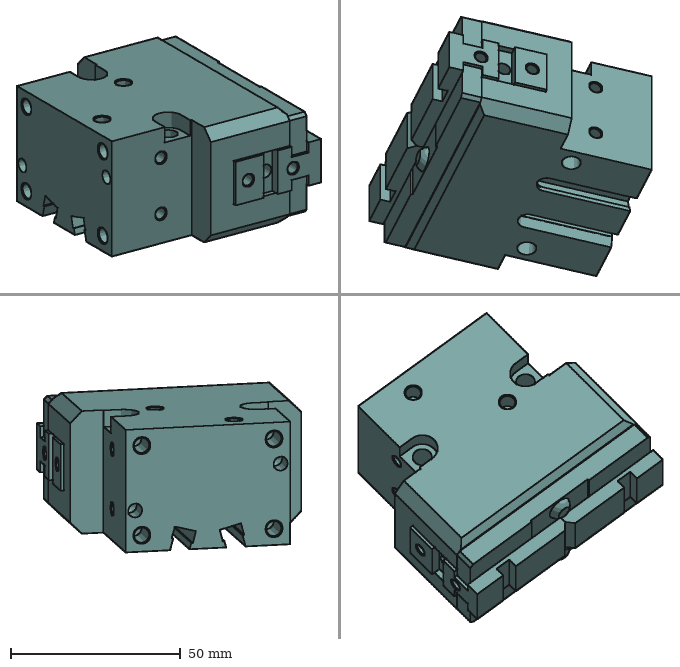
import cadquery as cq
import math


JAW_OUTER_X = 36.0
TOTAL_DEPTH = 67.0
HEIGHT = 37.0

HEAD_HALF_WIDTH = 35.0
NECK_HALF_WIDTH = 24.9
SHOULDER_Y = 28.45
HEAD_FRONT_Y = 56.6
SIDE_CHAMFER = 3.5
FRONT_CHAMFER = 2.0

PLATE_FRONT_Y = 62.65
PLATE_HALF_WIDTH = 34.9
PLATE_OUTER_Z = 16.05
PLATE_INNER_Z = 3.7
PLATE_CHAMFER = SIDE_CHAMFER - (HEIGHT / 2 - PLATE_OUTER_Z)
RELIEF_WIDTH = 22.2
RELIEF_DEPTH = 0.5
SCREW_Z = 11.6
SCREW_BASE_RADIUS = 3.75
SCREW_TOP_RADIUS = 2.1
SCREW_HEAD_HEIGHT = 2.15

JAW_HALF_HEIGHT = 7.0
JAW_BACK_Y = 36.6
SIDE_GROOVE_BACK_Y = 46.5
SIDE_GROOVE_FRONT_Y = 51.6
SIDE_GROOVE_DEPTH = 2.9
NOTCH_X = 23.5
NOTCH_WIDTH = 4.9
NOTCH_DEPTH = 3.0
TIP_CHAMFER_X = 2.0
TIP_CHAMFER_Y = 2.3
JAW_HOLE_Y = 49.1
JAW_HOLE_PITCH = 8.0
JAW_HOLE_DEPTH = 7.0

DRILL_POINT_ANGLE = 118.0
COUNTERSINK_SLOPE = 45.0
SMALL_BORE = 3.5
SMALL_MOUTH = 4.2
LARGE_BORE = 4.5
LARGE_MOUTH = 5.2
DOWEL_DIAMETER = 4.2
MOUNT_HOLE_DEPTH = 10.0
SIDE_HOLE_DEPTH = 7.0
DOWEL_DEPTH = 7.0
MOUNT_X = 20.0
MOUNT_Z = 13.5
DOWEL_X = 22.0
DOWEL_Z = 6.0
SIDE_HOLE_Y = 17.5
SIDE_HOLE_Z = 9.0

BOLT_X = 20.0
BOLT_Y = 23.4
BOLT_DIAMETER = 5.6
BOLT_POCKET_WIDTH = 9.1
BOLT_POCKET_DEPTH = 5.0

PORT_X = 9.5
PORT_BACK_Y = 7.0
PORT_FRONT_Y = 27.5
PORT_DEPTH = 6.0
PORT_PASSAGE_DIAMETER = 2.1
PORT_PASSAGE_DEPTH = 10.0

SLOT_X = 8.5
SLOT_TILT = 15.0
SLOT_DEPTH = 6.5
SLOT_WIDE_HEIGHT = 3.7
SLOT_WIDE_WIDTH = 6.6
SLOT_MOUTH_WIDTH = 5.7
SLOT_LENGTH = 30.0
SLOT_OVERRUN = 2.15


def box(x_min, x_max, y_min, y_max, z_min, z_max):
    """Axis-aligned box between two corners."""
    size = (x_max - x_min, y_max - y_min, z_max - z_min)
    return cq.Workplane("XY").box(*size, centered=False).translate((x_min, y_min, z_min))


def eight_sided_bar(half_width, half_height, chamfer, y_min, y_max):
    """Bar along Y whose section is a rectangle with its four corners cut off."""
    flat_x = half_width - chamfer
    flat_z = half_height - chamfer
    outline = [
        (flat_x, half_height), (half_width, flat_z), (half_width, -flat_z), (flat_x, -half_height),
        (-flat_x, -half_height), (-half_width, -flat_z), (-half_width, flat_z), (-flat_x, half_height),
    ]
    bar = cq.Workplane("XZ").polyline(outline).close().extrude(y_min - y_max)
    return bar.translate((0, y_min, 0))


def drill(position, direction, bore, depth, mouth):
    """Cutter for a cone-bottomed blind hole, with a 45 degree countersink if the mouth is wider."""
    bore_radius = bore / 2
    mouth_radius = mouth / 2
    point_depth = bore_radius / math.tan(math.radians(DRILL_POINT_ANGLE / 2))
    outline = cq.Workplane("XZ").lineTo(mouth_radius, 0)
    if mouth_radius > bore_radius:
        outline = outline.lineTo(bore_radius, bore_radius - mouth_radius)
    outline = outline.lineTo(bore_radius, -depth).lineTo(0, -depth - point_depth).close()
    cutter = outline.revolve(360, (0, 0, 0), (0, 1, 0)).val()
    plane = cq.Plane(origin=position, normal=tuple(-part for part in direction))
    return cutter.moved(cq.Location(plane))


def housing_blank():
    neck = box(-NECK_HALF_WIDTH, NECK_HALF_WIDTH, 0, SHOULDER_Y, -HEIGHT / 2, HEIGHT / 2)
    head = eight_sided_bar(HEAD_HALF_WIDTH, HEIGHT / 2, SIDE_CHAMFER, SHOULDER_Y, HEAD_FRONT_Y)
    front_profile = [
        (SHOULDER_Y, HEIGHT / 2), (HEAD_FRONT_Y - FRONT_CHAMFER, HEIGHT / 2),
        (HEAD_FRONT_Y, HEIGHT / 2 - FRONT_CHAMFER), (HEAD_FRONT_Y, -HEIGHT / 2 + FRONT_CHAMFER),
        (HEAD_FRONT_Y - FRONT_CHAMFER, -HEIGHT / 2), (SHOULDER_Y, -HEIGHT / 2),
    ]
    front_bevels = cq.Workplane("YZ").polyline(front_profile).close().extrude(HEAD_HALF_WIDTH, both=True)
    return neck.union(head.intersect(front_bevels))


def cover_plates():
    """Plate block across the front, with a shallow relief around the screws."""
    plates = eight_sided_bar(PLATE_HALF_WIDTH, PLATE_OUTER_Z, PLATE_CHAMFER, HEAD_FRONT_Y, PLATE_FRONT_Y)
    relief = box(
        -RELIEF_WIDTH / 2, RELIEF_WIDTH / 2, PLATE_FRONT_Y - RELIEF_DEPTH, PLATE_FRONT_Y,
        -PLATE_OUTER_Z, PLATE_OUTER_Z,
    )
    return plates.cut(relief)


def screw_head(z):
    """Domed screw head: a spherical zone with a flat top, standing on the relief floor."""
    centre_drop = (
        SCREW_BASE_RADIUS**2 - SCREW_TOP_RADIUS**2 - SCREW_HEAD_HEIGHT**2
    ) / (2 * SCREW_HEAD_HEIGHT)
    dome_radius = math.hypot(SCREW_BASE_RADIUS, centre_drop)
    middle_height = SCREW_HEAD_HEIGHT / 2
    middle_radius = math.sqrt(dome_radius**2 - (middle_height + centre_drop) ** 2)
    profile = (
        cq.Workplane("XY")
        .lineTo(SCREW_BASE_RADIUS, 0)
        .threePointArc((middle_radius, middle_height), (SCREW_TOP_RADIUS, SCREW_HEAD_HEIGHT))
        .lineTo(0, SCREW_HEAD_HEIGHT)
        .close()
    )
    head = profile.revolve(360, (0, 0, 0), (0, 1, 0))
    return head.translate((0, PLATE_FRONT_Y - RELIEF_DEPTH, z))


def jaw_section(x_min, x_max):
    """Jaw bar along X, grooved above and below where the cover plates reach in."""
    bar = box(x_min, x_max, JAW_BACK_Y, TOTAL_DEPTH, -JAW_HALF_HEIGHT, JAW_HALF_HEIGHT)
    for z_min, z_max in ((PLATE_INNER_Z, JAW_HALF_HEIGHT), (-JAW_HALF_HEIGHT, -PLATE_INNER_Z)):
        bar = bar.cut(box(x_min, x_max, HEAD_FRONT_Y, PLATE_FRONT_Y, z_min, z_max))
    return bar


def bolt_cutter(side):
    """Through hole with a round-ended head pocket that opens at the side of the neck."""
    hole = cq.Workplane("XY").circle(BOLT_DIAMETER / 2).extrude(HEIGHT / 2, both=True)
    hole = hole.translate((side * BOLT_X, BOLT_Y, 0))
    pocket_floor = HEIGHT / 2 - BOLT_POCKET_DEPTH
    round_end = cq.Workplane("XY").circle(BOLT_POCKET_WIDTH / 2).extrude(BOLT_POCKET_DEPTH)
    round_end = round_end.translate((side * BOLT_X, BOLT_Y, pocket_floor))
    x_min, x_max = sorted((side * BOLT_X, side * NECK_HALF_WIDTH))
    half_width = BOLT_POCKET_WIDTH / 2
    opening = box(x_min, x_max, BOLT_Y - half_width, BOLT_Y + half_width, pocket_floor, HEIGHT / 2)
    return hole.union(round_end).union(opening)


def port_cutter(x, y):
    """Countersunk flat-bottomed port with a narrow passage below it."""
    countersink_depth = (LARGE_MOUTH - LARGE_BORE) / 2
    top = cq.Workplane("XY", origin=(x, y, HEIGHT / 2))
    port = top.circle(LARGE_BORE / 2).extrude(-PORT_DEPTH)
    passage = top.circle(PORT_PASSAGE_DIAMETER / 2).extrude(-PORT_PASSAGE_DEPTH)
    countersink = top.circle(LARGE_MOUTH / 2).extrude(-countersink_depth, taper=COUNTERSINK_SLOPE)
    return port.union(passage).union(countersink)


def slot_part(width, z_min, z_max):
    """Straight slot from the mounting face along Y, with a half-round inner end."""
    straight_length = SLOT_LENGTH - width / 2
    straight = box(-width / 2, width / 2, -SLOT_OVERRUN, straight_length, z_min, z_max)
    end = cq.Workplane("XY", origin=(0, straight_length, z_min)).circle(width / 2).extrude(z_max - z_min)
    return straight.union(end)


def sensor_slot_cutter(side):
    wide = slot_part(SLOT_WIDE_WIDTH, SLOT_DEPTH - SLOT_WIDE_HEIGHT, SLOT_DEPTH)
    mouth = slot_part(SLOT_MOUTH_WIDTH, -SLOT_OVERRUN, SLOT_DEPTH)
    slot = wide.union(mouth).rotate((0, 0, 0), (0, 1, 0), -side * SLOT_TILT)
    return slot.translate((side * SLOT_X, 0, -HEIGHT / 2))


def make_housing():
    body = housing_blank().union(cover_plates())
    body = body.cut(jaw_section(-JAW_OUTER_X, JAW_OUTER_X))
    for z in (-SCREW_Z, SCREW_Z):
        body = body.union(screw_head(z))

    for side in (-1, 1):
        body = body.cut(bolt_cutter(side))
        body = body.cut(sensor_slot_cutter(side))
        dowel_position = (side * DOWEL_X, 0, side * DOWEL_Z)
        body = body.cut(drill(dowel_position, (0, 1, 0), DOWEL_DIAMETER, DOWEL_DEPTH, DOWEL_DIAMETER))
        for level in (-1, 1):
            mount_position = (side * MOUNT_X, 0, level * MOUNT_Z)
            body = body.cut(drill(mount_position, (0, 1, 0), LARGE_BORE, MOUNT_HOLE_DEPTH, LARGE_MOUTH))
            side_position = (side * NECK_HALF_WIDTH, SIDE_HOLE_Y, level * SIDE_HOLE_Z)
            body = body.cut(drill(side_position, (-side, 0, 0), SMALL_BORE, SIDE_HOLE_DEPTH, SMALL_MOUTH))

    body = body.cut(port_cutter(-PORT_X, PORT_FRONT_Y))
    return body.cut(port_cutter(PORT_X, PORT_BACK_Y))


def make_jaw(side):
    """One jaw, running from the centre plane to its outer end on the given side."""
    x_min, x_max = sorted((0, side * JAW_OUTER_X))
    jaw = jaw_section(x_min, x_max)

    groove_floor = JAW_OUTER_X - SIDE_GROOVE_DEPTH
    groove_min, groove_max = sorted((side * groove_floor, side * JAW_OUTER_X))
    jaw = jaw.cut(box(
        groove_min, groove_max, SIDE_GROOVE_BACK_Y, SIDE_GROOVE_FRONT_Y, -JAW_HALF_HEIGHT, JAW_HALF_HEIGHT
    ))
    jaw = jaw.cut(box(
        side * NOTCH_X - NOTCH_WIDTH / 2, side * NOTCH_X + NOTCH_WIDTH / 2,
        TOTAL_DEPTH - NOTCH_DEPTH, TOTAL_DEPTH, -JAW_HALF_HEIGHT, JAW_HALF_HEIGHT,
    ))

    tip_corner = [(0, TOTAL_DEPTH), (side * TIP_CHAMFER_X, TOTAL_DEPTH), (0, TOTAL_DEPTH - TIP_CHAMFER_Y)]
    jaw = jaw.cut(cq.Workplane("XY").polyline(tip_corner).close().extrude(JAW_HALF_HEIGHT, both=True))

    inward = (-side, 0, 0)
    for y in (JAW_HOLE_Y - JAW_HOLE_PITCH, JAW_HOLE_Y + JAW_HOLE_PITCH):
        jaw = jaw.cut(drill((side * JAW_OUTER_X, y, 0), inward, SMALL_BORE, JAW_HOLE_DEPTH, SMALL_MOUTH))
    groove_hole = (side * groove_floor, JAW_HOLE_Y, 0)
    return jaw.cut(drill(groove_hole, inward, DOWEL_DIAMETER, JAW_HOLE_DEPTH, DOWEL_DIAMETER))


housing = make_housing()
jaws = [make_jaw(side) for side in (-1, 1)]

result = cq.Compound.makeCompound([housing.solids().val(), *[jaw.solids().val() for jaw in jaws]])